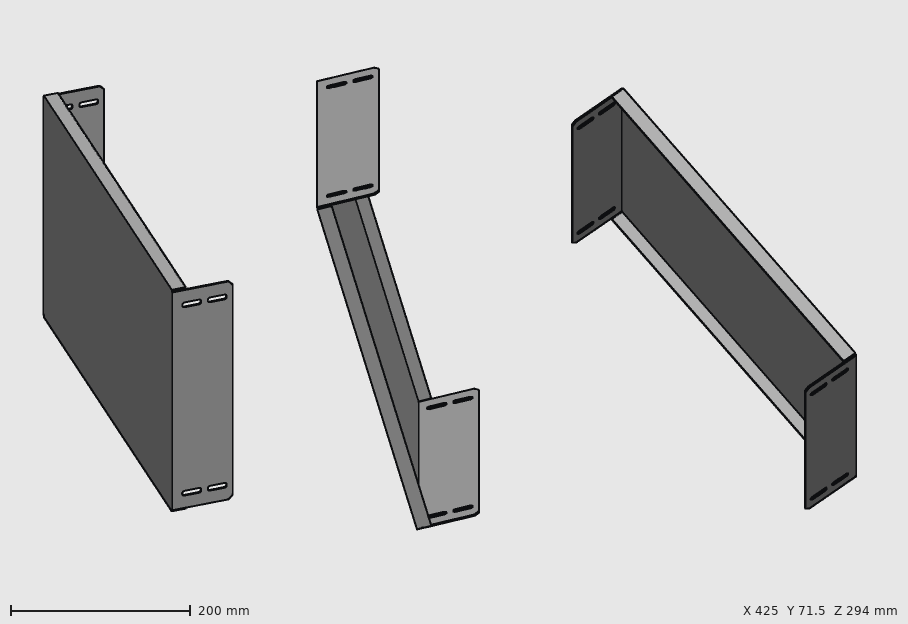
import cadquery as cq

width = 425.0
depth = 71.5
height = 294.0
sheet = 2.0

side_relief = 2.5
lip_relief = sheet
lip_depth = 16.5

side_height = height - 2 * side_relief
lip_width = width - 2 * lip_relief
corner_chamfer = 5.0

slot_length = 22.5
slot_width = 6.5
slot_from_front = 23.0
slot_pitch = 30.0
slot_from_end = 22.0
slot_z = height / 2 - slot_from_end


def box_from_front(x_size, y_size, z_size):
    """Box centred in X and Z, reaching back from the front plane."""
    return cq.Workplane("XY").box(x_size, y_size, z_size, centered=(True, False, True))


def make_channels():
    """Union of the side-flange channel and the lip channel, sharing the panel."""
    side_channel = box_from_front(width, depth, side_height)
    side_channel = side_channel.faces(">Y").edges("|X").chamfer(corner_chamfer)
    lip_channel = box_from_front(lip_width, lip_depth, height)
    return side_channel.union(lip_channel)


def make_cavity():
    """Open space behind the panel, between the flanges and between the lips."""
    cavity = box_from_front(width - 2 * sheet, depth, height - 2 * sheet)
    behind_lips = box_from_front(width - 2 * sheet, depth, height).translate((0, lip_depth, 0))
    return cavity.translate((0, sheet, 0)).union(behind_lips)


def make_slots():
    """Slot cutters passing through both side flanges."""
    centres = [
        (slot_from_front + column * slot_pitch, end * slot_z)
        for column in range(2)
        for end in (-1, 1)
    ]
    return (
        cq.Workplane("YZ")
        .pushPoints(centres)
        .slot2D(slot_length, slot_width)
        .extrude(width, both=True)
    )


result = make_channels().cut(make_cavity()).cut(make_slots())